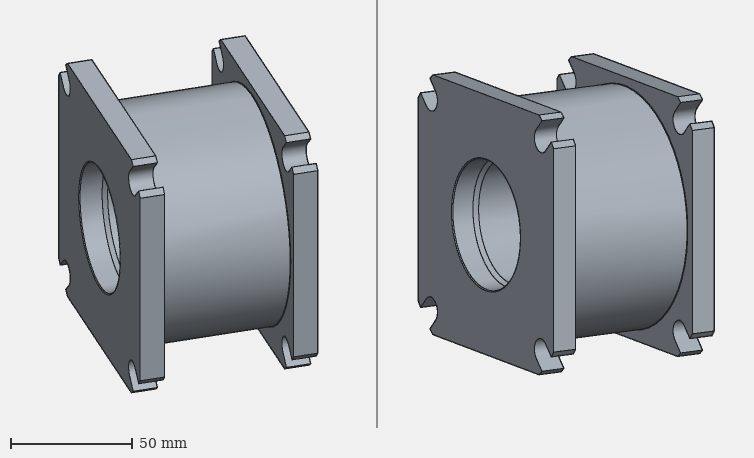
import cadquery as cq
import math

plate_side = 110.0
plate_corner_diameter = 139.7
total_length = 77.0
plate_thickness = 10.6
drum_diameter = 102.3

root_chamfer = 0.2

slot_width = 10.7
slot_center_radius = 63.2

bore_diameter = 52.5
seat_diameter = 55.0
seat_depth = 10.0
seat_taper_length = 2.0
mouth_chamfer = 0.4

half_length = total_length / 2
plate_inner = half_length - plate_thickness


def make_plate(start_y):
    """Square plate with its corners rounded about the bore axis, growing toward +Y."""
    plane = cq.Workplane("XZ", origin=(0, start_y, 0))
    square = plane.rect(plate_side, plate_side).extrude(-plate_thickness)
    disc = plane.circle(plate_corner_diameter / 2).extrude(-plate_thickness)
    return square.intersect(disc)


def make_slots():
    """Round-ended slots through both plates, open at the four corners."""
    slot_outer_radius = plate_corner_diameter / 2 + slot_width
    slot_length = slot_outer_radius - slot_center_radius + slot_width
    slot_middle_radius = (slot_outer_radius + slot_center_radius) / 2
    slot = (
        cq.Workplane("XZ", origin=(0, half_length, 0))
        .center(slot_middle_radius, 0)
        .slot2D(slot_length, slot_width)
        .extrude(total_length)
    )
    slots = cq.Workplane("XZ")
    for angle in (45, 135, 225, 315):
        slots = slots.add(slot.rotate((0, 0, 0), (0, 1, 0), angle))
    return slots.combine()


def make_drum():
    """Revolved drum between the plates, flared slightly at both roots."""
    radius = drum_diameter / 2
    return (
        cq.Workplane("XY")
        .moveTo(0, -plate_inner)
        .lineTo(radius + root_chamfer, -plate_inner)
        .lineTo(radius, -plate_inner + root_chamfer)
        .lineTo(radius, plate_inner - root_chamfer)
        .lineTo(radius + root_chamfer, plate_inner)
        .lineTo(0, plate_inner)
        .close()
        .revolve(360, (0, 0, 0), (0, 1, 0))
    )


def make_bore():
    """Through bore with a wider seat, a tapered step and a chamfered mouth at each end."""
    bore_radius = bore_diameter / 2
    seat_radius = seat_diameter / 2
    seat_end = half_length - seat_depth
    taper_end = seat_end - seat_taper_length
    half_bore = (
        cq.Workplane("XY")
        .lineTo(bore_radius, 0)
        .lineTo(bore_radius, taper_end)
        .lineTo(seat_radius, seat_end)
        .lineTo(seat_radius, half_length - mouth_chamfer)
        .lineTo(seat_radius + mouth_chamfer, half_length)
        .lineTo(0, half_length)
        .close()
        .revolve(360, (0, 0, 0), (0, 1, 0))
    )
    return half_bore.union(half_bore.mirror("XZ"))


front_plate = make_plate(-half_length)
back_plate = make_plate(plate_inner)
body = make_drum().union(front_plate).union(back_plate)
result = body.cut(make_slots()).cut(make_bore())